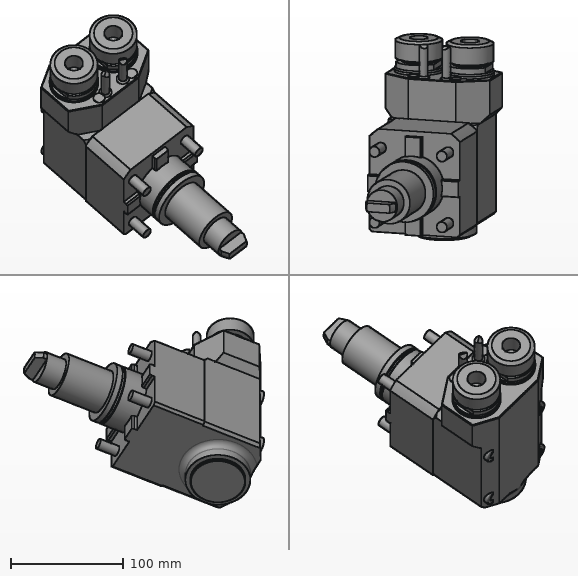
import cadquery as cq
import math


head_half_width = 49.0
body_half_width = 41.9
head_top = 86.1
body_top = 47.3
body_bottom = -44.7
front_face_half_width = 27.0
rear_face_half_width = 22.2
joint_x = 64.0
joint_overlap = 13.0
corner_angle = 60
bottom_chamfer = 2.8
top_chamfer = 0.7

block_end = 114.0
block_half_width = 42.5
block_top = 49.3
block_radius = 60.0
lead_in_length = 5.7
lead_in_growth = 5.7

collar_radius = 27.5
collar_end = 144.0
groove_start = 135.5
groove_width = 2.8
groove_depth = 1.3
seal_section_radius = 1.0
shaft_radius = 20.0
shaft_end = 188.5
nose_radius = 14.4
nose_end = 207.5
tang_end = 218.0
tang_radius = 14.2
tang_tip_radius = 11.0
tang_taper_start = 211.0
tang_thickness = 7.8

key_width = 15.3
key_length = 5.0
key_bevel_length = 2.0
key_bevel_width = 0.7

screw_y = 31.6
screw_z = 32.3
screw_radius = 4.8
screw_end = 132.8
screw_head_x = 2.8
screw_head_radius = 8.0
screw_head_rounding = 0.7
socket_radius = 4.1
screw_head_depth = 7.6

outlet_x = 29.0
nozzle_y = 24.0
nozzle_top = 116.2
cap_radius = 21.1
cap_top_radius = 17.2
cap_chamfer_height = 2.0
cap_bottom = 98.3
neck_radius = 16.4
neck_groove_radius = 15.3
neck_groove_top = 96.5
collar_nut_top = 95.3
collar_nut_half_flats = 17.9
flange_top = 90.0
flange_radius = 21.8
flange_chamfer_height = 1.7
flange_chamfer_width = 0.7
bore_radius = 8.0

pin_x = 55.8
pin_y = 10.7
pin_radius = 3.7
pin_top = 116.0
pin_roof_height = 2.8
pin_ridge_angle = 60
pin_foot_radius = 5.7
pin_foot_height = 1.5
plug_x = 57.3
plug_y = 19.6
plug_radius = 5.2
plug_foot_radius = 4.1
plug_height = 1.5

boss_radius = 29.0
boss_setback = 0.1
boss_x = boss_radius + boss_setback
boss_flare = 5.9
boss_bottom = -59.3
rim_radius = 24.6
rim_bottom = -62.0
rim_chamfer = 0.7


def plate(x_start, x_end, half_width, z_low, z_high):
    """Box centred on Y between the given X and Z limits."""
    size = (x_end - x_start, 2 * half_width, z_high - z_low)
    corner = (x_start, -half_width, z_low)
    return cq.Workplane("XY").box(*size, centered=False).translate(corner)


def disc(x, y, z_low, z_high, radius):
    """Upright cylinder at (x, y)."""
    return cq.Workplane("XY", origin=(x, y, z_low)).circle(radius).extrude(z_high - z_low)


def rod(x_start, x_end, radius, y=0, z=0):
    """Cylinder parallel to the spindle at (y, z)."""
    return cq.Workplane("YZ", origin=(x_start, y, z)).circle(radius).extrude(x_end - x_start)


def turned_about_x(points):
    """Revolve an (X, radius) outline about the spindle axis."""
    return cq.Workplane("XY").polyline(points).close().revolve(360, (0, 0, 0), (1, 0, 0))


def turned_upright(x, y, points):
    """Revolve a (radius, Z) outline about the vertical line at (x, y)."""
    profile = cq.Workplane("XZ").polyline(points).close()
    return profile.revolve(360, (0, 0, 0), (0, 1, 0)).translate((x, y, 0))


def make_housing():
    slope = math.tan(math.radians(corner_angle))
    front_x = (head_half_width - front_face_half_width) / slope
    rear_x = joint_x - (head_half_width - rear_face_half_width) / slope
    half_plan = [
        (0, front_face_half_width),
        (front_x, head_half_width),
        (rear_x, head_half_width),
        (joint_x, rear_face_half_width),
    ]
    plan = half_plan + [(x, -y) for x, y in reversed(half_plan)]
    prism = (
        cq.Workplane("XY", origin=(0, 0, body_bottom))
        .polyline(plan)
        .close()
        .extrude(head_top - body_bottom)
    )

    shoulder = body_top + head_half_width - body_half_width
    half_section = [
        (body_half_width - bottom_chamfer, body_bottom),
        (body_half_width, body_bottom + bottom_chamfer),
        (body_half_width, body_top),
        (head_half_width, shoulder),
        (head_half_width, head_top),
    ]
    section = half_section + [(-y, z) for y, z in reversed(half_section)]
    envelope = cq.Workplane("YZ").polyline(section).close().extrude(joint_x)

    joint_start = joint_x - joint_overlap
    joint = plate(joint_start, joint_x, body_half_width, body_bottom, body_top)
    joint = joint.edges("|X and <Z").chamfer(bottom_chamfer)
    wide_radius = block_radius + lead_in_growth
    lead_in = turned_about_x([
        (joint_start, 0),
        (joint_start, wide_radius),
        (joint_x - lead_in_length, wide_radius),
        (joint_x, block_radius),
        (joint_x, 0),
    ])
    upright = prism.intersect(envelope).faces(">Z").edges().chamfer(top_chamfer)
    return upright.union(joint.intersect(lead_in))


def make_block():
    block = plate(joint_x, block_end, block_half_width, body_bottom, block_top)
    return block.intersect(rod(joint_x, block_end, block_radius))


def make_spindle():
    groove_radius = collar_radius - groove_depth
    groove_end = groove_start + groove_width
    body = turned_about_x([
        (joint_x, 0),
        (joint_x, collar_radius),
        (groove_start, collar_radius),
        (groove_start, groove_radius),
        (groove_end, groove_radius),
        (groove_end, collar_radius),
        (collar_end, collar_radius),
        (collar_end, shaft_radius),
        (shaft_end, shaft_radius),
        (shaft_end, nose_radius),
        (nose_end, nose_radius),
        (nose_end, 0),
    ])
    tang = turned_about_x([
        (shaft_end, 0),
        (shaft_end, tang_radius),
        (tang_taper_start, tang_radius),
        (tang_end, tang_tip_radius),
        (tang_end, 0),
    ])
    half_tang = tang_thickness / 2
    flats = plate(shaft_end, tang_end, tang_radius, -half_tang, half_tang)
    seal = (
        cq.Workplane("XY")
        .center(groove_start + groove_width / 2, groove_radius)
        .circle(seal_section_radius)
        .revolve(360, (0, -groove_radius, 0), (1, -groove_radius, 0))
    )
    return body.union(tang.intersect(flats)).union(seal)


def key_bar(plane, reach):
    """Bar with a bevelled rear edge, drawn on the plane and reaching both ways from it."""
    key_end = block_end + key_length
    half_key = key_width / 2
    half_outline = [
        (joint_x, half_key),
        (key_end - key_bevel_length, half_key),
        (key_end, half_key - key_bevel_width),
    ]
    outline = half_outline + [(x, -width) for x, width in reversed(half_outline)]
    return cq.Workplane(plane).polyline(outline).close().extrude(reach, both=True)


def make_keys():
    """Pair of crossed bars giving four keys around the collar."""
    return key_bar("XY", -body_bottom).union(key_bar("XZ", block_half_width))


def make_screw(y, z):
    """Screw tail behind the block and socket head on the slanted corner."""
    tail = rod(joint_x, screw_end, screw_radius, y, z)
    head_end = screw_head_x + screw_head_depth
    head = rod(screw_head_x, head_end, screw_head_radius, y, z)
    head = head.edges("<X").fillet(screw_head_rounding)
    head = head.cut(rod(screw_head_x, head_end, socket_radius, y, z))
    return tail.union(head)


def make_nozzle(y):
    nozzle = turned_upright(outlet_x, y, [
        (0, head_top),
        (flange_radius, head_top),
        (flange_radius, flange_top - flange_chamfer_height),
        (flange_radius - flange_chamfer_width, flange_top),
        (neck_groove_radius, flange_top),
        (neck_groove_radius, neck_groove_top),
        (neck_radius, neck_groove_top),
        (neck_radius, cap_bottom),
        (cap_radius, cap_bottom),
        (cap_radius, nozzle_top - cap_chamfer_height),
        (cap_top_radius, nozzle_top),
        (0, nozzle_top),
    ])
    nut = disc(outlet_x, y, flange_top, collar_nut_top, cap_radius)
    nut_start = outlet_x - cap_radius
    nut_end = outlet_x + cap_radius
    flats = plate(nut_start, nut_end, collar_nut_half_flats, flange_top, collar_nut_top)
    flats = flats.translate((0, y, 0))
    bore = disc(outlet_x, y, cap_bottom, nozzle_top, bore_radius)
    return nozzle.union(nut.intersect(flats)).cut(bore)


def make_pin(side):
    """Pin with a flared foot and a roof-shaped tip; side is +1 or -1."""
    y = side * pin_y
    shoulder = pin_top - pin_roof_height
    shank = disc(pin_x, y, head_top, pin_top, pin_radius)
    roof = (
        cq.Workplane("YZ")
        .polyline([
            (-pin_radius, head_top),
            (pin_radius, head_top),
            (pin_radius, shoulder),
            (0, pin_top),
            (-pin_radius, shoulder),
        ])
        .close()
        .extrude(pin_radius, both=True)
        .rotate((0, 0, 0), (0, 0, 1), side * pin_ridge_angle)
        .translate((pin_x, y, 0))
    )
    foot = turned_upright(pin_x, y, [
        (0, head_top),
        (pin_foot_radius, head_top),
        (pin_radius, head_top + pin_foot_height),
        (0, head_top + pin_foot_height),
    ])
    return shank.intersect(roof).union(foot)


def make_plug(y):
    """Low plug that widens upward."""
    return turned_upright(plug_x, y, [
        (0, head_top),
        (plug_foot_radius, head_top),
        (plug_radius, head_top + plug_height),
        (0, head_top + plug_height),
    ])


def make_boss():
    """Round bottom boss, with its flare trimmed at the housing's front face."""
    flare_radius = boss_radius + boss_flare
    arc_offset = boss_flare * math.sqrt(0.5)
    profile = (
        cq.Workplane("XZ")
        .moveTo(0, body_bottom)
        .lineTo(flare_radius, body_bottom)
        .threePointArc(
            (flare_radius - arc_offset, body_bottom - boss_flare + arc_offset),
            (boss_radius, body_bottom - boss_flare),
        )
        .lineTo(boss_radius, boss_bottom)
        .lineTo(rim_radius, boss_bottom)
        .lineTo(rim_radius, rim_bottom + rim_chamfer)
        .lineTo(rim_radius - rim_chamfer, rim_bottom)
        .lineTo(0, rim_bottom)
        .close()
    )
    boss = profile.revolve(360, (0, 0, 0), (0, 1, 0)).translate((boss_x, 0, 0))
    front_limit = plate(0, boss_x + flare_radius, flare_radius, rim_bottom, body_bottom)
    return boss.intersect(front_limit)


result = make_housing().union(make_block()).union(make_spindle())
result = result.union(make_keys()).union(make_boss())
for side in (1, -1):
    for height in (screw_z, -screw_z):
        result = result.union(make_screw(side * screw_y, height))
    result = result.union(make_nozzle(side * nozzle_y))
    result = result.union(make_pin(side)).union(make_plug(side * plug_y))